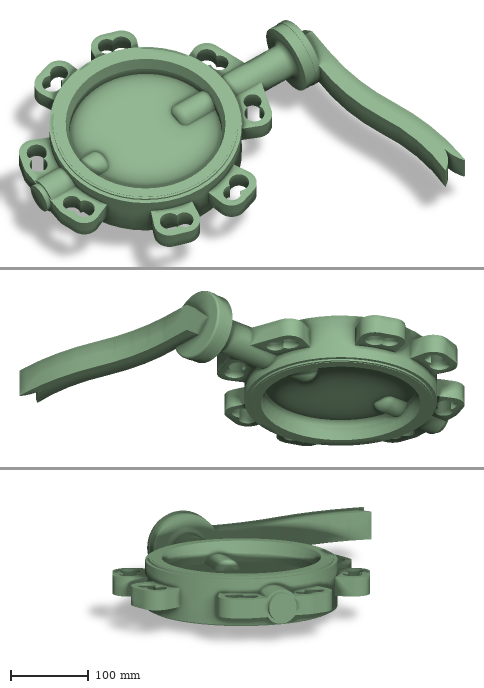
import cadquery as cq


ring_radius = 124.5
ring_half_height = 30.5
rim_radius = 119.5
rim_half_height = 32.5
seal_radius = 117.0
seal_half_height = 33.0

bore_radius = 103.5
throat_radius = 99.0
taper_end = 17.5
disc_half_thickness = 6.2

stem_radius = 18.5
stem_upper_tip = 47.0
stem_lower_tip = -65.5
stem_tip_round = 9.5
stem_bottom = -167.5

neck_radius = 22.5
neck_fillet = 6.5
boss_bottom = -161.0
flange_radius = 45.0
flange_start = 221.0
flange_end = 236.0

lug_half_height = 12.5
lug_bottom = -162.0
lug_corner_radius = 20.0
corner_near = (147.5, 84.0)
corner_far = (168.0, 21.5)
root_near = (98.0, 61.5)
root_far = (105.5, 9.0)
large_hole = (133.5, 54.5)
large_hole_radius = 13.0
small_hole = (142.0, 37.5)
small_hole_radius = 11.5

cap_diameter = 92.0
cap_end = 246.0
cap_round = 3.0
lever_half_width = 18.3
lever_nose = -26.0
lever_base = 244.0
lever_base_end = 29.0
lever_top = 267.0
lever_flat_end = 38.5
lever_end = 273.5
upper_bend = (147.0, 289.7)
lower_bend = (155.0, 262.5)
upper_inner_arc = (96.0, 274.0)
upper_outer_arc = (208.5, 307.5)
lower_inner_arc = (101.0, 247.0)
lower_outer_arc = (211.5, 279.0)
end_top = 313.0
end_bottom = 282.0
notch_tip = (242.5, 301.0)
notch_upper_arc = (258.0, 303.5)
notch_lower_arc = (261.5, 294.5)
notch_lip = 1.5


def cylinder_along_y(radius, y_start, y_end):
    """Cylinder on the stem axis between two Y positions."""
    return cq.Workplane("XZ", origin=(0, y_end, 0)).circle(radius).extrude(y_end - y_start)


def cylinder_along_z(radius, half_height):
    """Cylinder on the bore axis, centred on the origin."""
    return cq.Workplane("XY").circle(radius).extrude(half_height, both=True)


def swapped(point):
    """Point reflected about the line X = Y."""
    return (point[1], point[0])


def four_ways(shape):
    """Union of a shape with its mirror images in the XZ and YZ planes."""
    pair = shape.union(shape.mirror("XZ"))
    return pair.union(pair.mirror("YZ"))


def lug_plate(points):
    """Flat plate of lug thickness, centred in height."""
    return cq.Workplane("XY").polyline(points).close().extrude(lug_half_height, both=True)


def side_lug():
    lug = lug_plate([root_far, corner_far, corner_near, root_near])
    lug = lug.edges("|Z and >X").fillet(lug_corner_radius)
    return lug.edges("|Z and >Y").fillet(lug_corner_radius)


def lug_bridge():
    """Two lugs joined across the neck by the straight continuation of their outer edges."""
    root_x, root_y = swapped(root_near)
    corner_x, corner_y = swapped(corner_near)
    far_x, far_y = swapped(corner_far)
    edge_slope = (far_y - corner_y) / (far_x - corner_x)
    apex_y = corner_y - edge_slope * corner_x
    bridge = lug_plate(
        [
            (-root_x, root_y),
            (-corner_x, corner_y),
            (0, apex_y),
            (corner_x, corner_y),
            (root_x, root_y),
        ]
    )
    return bridge.edges("|Z and (>X or <X)").fillet(lug_corner_radius)


def bottom_lug_bridge():
    """The bridge mirrored to the boss side, with its apex cut off flat."""
    trim_size = 2 * ring_radius
    trim = cq.Workplane("XY").box(trim_size, trim_size, trim_size)
    trim = trim.translate((0, lug_bottom - trim_size / 2, 0))
    bridge = lug_bridge().mirror("XZ").cut(trim)
    return bridge.edges("|Z and <Y").fillet(lug_corner_radius)


def lug_holes():
    """Pairs of overlapping bolt holes through all eight lugs."""
    holes = cq.Workplane("XY")
    for centre, radius in ((large_hole, large_hole_radius), (small_hole, small_hole_radius)):
        for place in (centre, swapped(centre)):
            holes = holes.union(cylinder_along_z(radius, lug_half_height).translate(place + (0,)))
    return four_ways(holes)


def bore_recess():
    """Space above the disc: a tapered mouth that runs into the cylindrical throat."""
    profile = [
        (0, disc_half_thickness),
        (throat_radius, disc_half_thickness),
        (throat_radius, taper_end),
        (bore_radius, seal_half_height),
        (0, seal_half_height),
    ]
    return cq.Workplane("XZ").polyline(profile).close().revolve(360, (0, 0, 0), (0, 1, 0))


def neck_with_flange():
    flange = cylinder_along_y(flange_radius, flange_start, flange_end)
    neck = cylinder_along_y(neck_radius, 0, flange_start).union(flange)
    neck_root = cq.selectors.RadiusNthSelector(0)
    return neck.edges(neck_root).edges(">Y").fillet(neck_fillet)


def stem_stubs():
    """Upper and lower stem ends with rounded tips that stand on the disc."""
    upper = cylinder_along_y(stem_radius, stem_upper_tip, ring_radius)
    upper = upper.faces("<Y").edges().fillet(stem_tip_round)
    lower = cylinder_along_y(stem_radius, stem_bottom, stem_lower_tip)
    lower = lower.faces(">Y").edges().fillet(stem_tip_round)
    return upper.union(lower)


def make_valve():
    valve = cylinder_along_z(ring_radius, ring_half_height)
    valve = valve.union(cylinder_along_z(rim_radius, rim_half_height))
    valve = valve.union(cylinder_along_z(seal_radius, seal_half_height))
    valve = valve.union(neck_with_flange())
    valve = valve.union(cylinder_along_y(neck_radius, boss_bottom, 0))
    valve = valve.union(four_ways(side_lug()))
    valve = valve.union(lug_bridge()).union(bottom_lug_bridge())
    valve = valve.cut(lug_holes())
    valve = valve.cut(bore_recess()).cut(bore_recess().mirror("XY"))
    return valve.union(stem_stubs())


def lever_plan():
    """Lever outline in XY: straight hub, S-shaped arm and notched free end."""
    return (
        cq.Workplane("XY")
        .moveTo(lever_nose, lever_base)
        .lineTo(lever_nose, lever_top)
        .lineTo(lever_flat_end, lever_top)
        .threePointArc(upper_inner_arc, upper_bend)
        .threePointArc(upper_outer_arc, (lever_end, end_top))
        .lineTo(lever_end, end_top - notch_lip)
        .threePointArc(notch_upper_arc, notch_tip)
        .threePointArc(notch_lower_arc, (lever_end, end_bottom))
        .threePointArc(lower_outer_arc, lower_bend)
        .threePointArc(lower_inner_arc, (lever_base_end, lever_base))
        .close()
        .extrude(lever_half_width, both=True)
    )


def lever_side():
    """Lever outline in XZ: a bar whose end comes to a right-angled point."""
    shoulder = lever_nose + lever_half_width
    profile = [
        (lever_nose, 0),
        (shoulder, lever_half_width),
        (lever_end, lever_half_width),
        (lever_end, -lever_half_width),
        (shoulder, -lever_half_width),
    ]
    depth = end_top - flange_end
    return cq.Workplane("XZ", origin=(0, end_top, 0)).polyline(profile).close().extrude(depth)


def make_lever_handle():
    cap = cylinder_along_y(cap_diameter / 2, flange_end, cap_end)
    cap = cap.faces(">Y").edges().fillet(cap_round)
    return cap.union(lever_plan().intersect(lever_side()))


valve = make_valve()
lever_handle = make_lever_handle()
result = cq.Compound.makeCompound([valve.val(), lever_handle.val()])